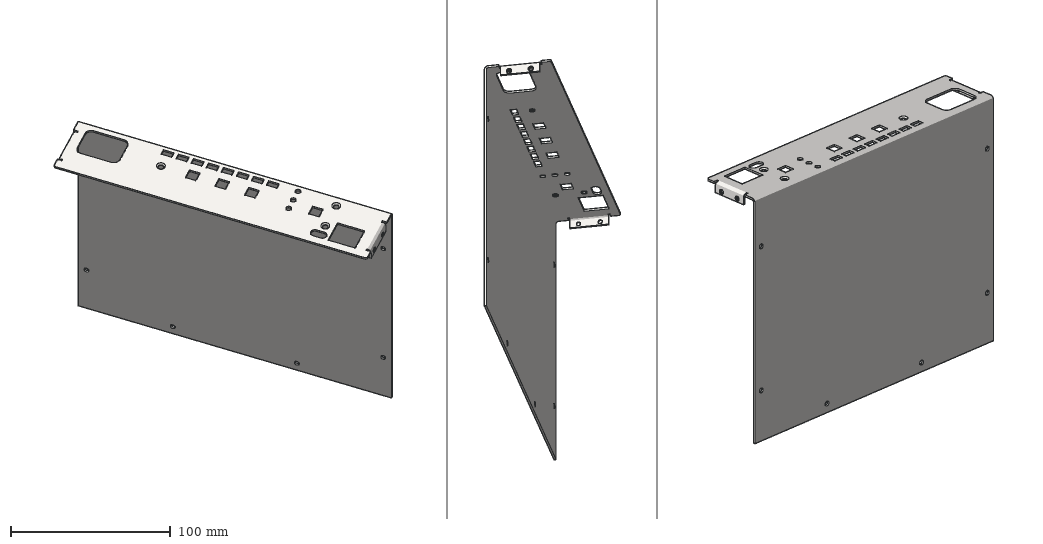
import cadquery as cq

width = 211.2
depth = 42.7
height = 169.5
thickness = 1.4
countersink_angle = 90
bend_radius = 2.7
shelf_corner_radius = 1.5

tab_length = 25.0
tab_drop = 7.4
tab_center_y = -22.8
tab_bend_radius = 3.0
relief_gap = 1.0
tab_hole_diameter = 2.5
tab_countersink_diameter = 3.4
tab_hole_spacing = 14.0
tab_hole_z = -5.0

panel_hole_diameter = 3.2
side_hole_spacing_x = 200.0
side_hole_rows_z = (-34.6, -134.5)
bottom_hole_spacing_x = 83.6
bottom_hole_z = -163.3

display_size = (28.5, 21.0)
display_center = (-83.5, -15.8)
display_corner_radius = 4.0
connector_size = (18.2, 15.8)
connector_center = (86.4, -29.4)
slot_size = (10.5, 5.5)
slot_center = (70.0, -34.6)

vent_size = (7.0, 4.0)
vent_count = 8
vent_pitch = 10.1
vent_row_center = (-8.0, -6.1)

button_side = 7.0
button_row_y = -17.5
button_columns_x = (-22.0, -2.1, 18.0, 61.0)

lamp_hole_diameter = 3.5
lamp_count = 3
lamp_pitch = 7.8
lamp_column_center = (44.4, -13.5)

screw_hole_diameter = 3.5
screw_countersink_diameter = 5.5
screw_centers = ((-43.3, button_row_y), (71.2, -8.2), (71.2, -26.6))


def bent_sheet():
    """Panel and shelf as one L-shaped sheet with a rounded fold."""
    return (
        cq.Workplane("YZ")
        .moveTo(0, -height)
        .lineTo(0, -bend_radius)
        .radiusArc((-bend_radius, 0), -bend_radius)
        .lineTo(-depth, 0)
        .lineTo(-depth, -thickness)
        .lineTo(-bend_radius, -thickness)
        .radiusArc((-thickness, -bend_radius), bend_radius - thickness)
        .lineTo(-thickness, -height)
        .close()
        .extrude(width / 2, both=True)
    )


def side_notches():
    """Material removed at the shelf ends to make room for the tabs."""
    notch_length = tab_length + 2 * relief_gap
    return (
        cq.Workplane("XY")
        .pushPoints([(-width / 2, tab_center_y), (width / 2, tab_center_y)])
        .rect(2 * tab_bend_radius, notch_length)
        .extrude(-thickness)
    )


def left_tab():
    """Tab folded down at the -X end of the shelf, with two countersunk holes."""
    outer_x = -width / 2
    bend_x = outer_x + tab_bend_radius
    inner_x = outer_x + thickness
    tab = (
        cq.Workplane("XZ", origin=(0, tab_center_y, 0))
        .moveTo(bend_x, 0)
        .radiusArc((outer_x, -tab_bend_radius), -tab_bend_radius)
        .lineTo(outer_x, -tab_drop)
        .lineTo(inner_x, -tab_drop)
        .lineTo(inner_x, -tab_bend_radius)
        .radiusArc((bend_x, -thickness), tab_bend_radius - thickness)
        .close()
        .extrude(tab_length / 2, both=True)
    )
    return (
        tab.faces("<X")
        .workplane(origin=(outer_x, tab_center_y, tab_hole_z))
        .rarray(tab_hole_spacing, 2.1, 2, 1)
        .cskHole(tab_hole_diameter, tab_countersink_diameter, countersink_angle, depth=thickness)
    )


def panel_holes():
    """Mounting holes near the side and bottom edges of the panel."""
    side_x = side_hole_spacing_x / 2
    bottom_x = bottom_hole_spacing_x / 2
    points = [(x, z) for x in (-side_x, side_x) for z in side_hole_rows_z]
    points += [(x, bottom_hole_z) for x in (-bottom_x, bottom_x)]
    return (
        cq.Workplane("XZ")
        .pushPoints(points)
        .circle(panel_hole_diameter / 2)
        .extrude(thickness)
    )


def shelf_cutter(center):
    """Workplane on top of the shelf, centered on an opening."""
    return cq.Workplane("XY", origin=(*center, 0))


def shelf_openings():
    """All straight-walled openings through the shelf."""
    display = (
        shelf_cutter(display_center)
        .rect(*display_size)
        .extrude(-thickness)
        .edges("|Z")
        .fillet(display_corner_radius)
    )
    connector = shelf_cutter(connector_center).rect(*connector_size).extrude(-thickness)
    slot = shelf_cutter(slot_center).slot2D(*slot_size).extrude(-thickness)
    vents = (
        shelf_cutter(vent_row_center)
        .rarray(vent_pitch, 2.1, vent_count, 1)
        .rect(*vent_size)
        .extrude(-thickness)
    )
    buttons = (
        shelf_cutter((0, button_row_y))
        .pushPoints([(x, 0) for x in button_columns_x])
        .rect(button_side, button_side)
        .extrude(-thickness)
    )
    lamps = (
        shelf_cutter(lamp_column_center)
        .rarray(2.1, lamp_pitch, 1, lamp_count)
        .circle(lamp_hole_diameter / 2)
        .extrude(-thickness)
    )
    return [display, connector, slot, vents, buttons, lamps]


sheet = bent_sheet()
sheet = sheet.edges("|Z").edges("<Y").fillet(shelf_corner_radius)
sheet = sheet.cut(side_notches())

tab = left_tab()
sheet = sheet.union(tab).union(tab.mirror("YZ"))

sheet = sheet.cut(panel_holes())
for opening in shelf_openings():
    sheet = sheet.cut(opening)

result = (
    sheet.faces(">Z")
    .workplane(origin=(0, 0, 0))
    .pushPoints(screw_centers)
    .cskHole(screw_hole_diameter, screw_countersink_diameter, countersink_angle, depth=thickness)
)